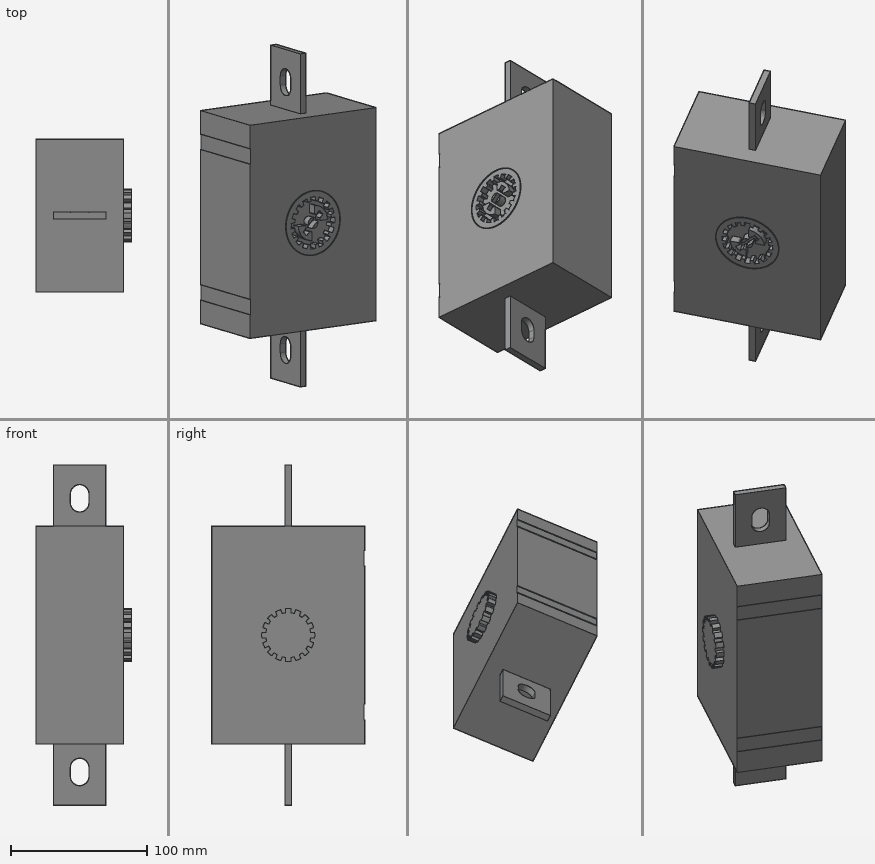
import cadquery as cq
import math

BODY_X = 64.5
BODY_Y = 112.5
BODY_Z = 160.0

BLADE_WIDTH = 38.5
BLADE_THICKNESS = 5.0
BLADE_LENGTH = 250.0
SLOT_WIDTH = 13.5
SLOT_LENGTH = 20.0
SLOT_CENTRE_Z = 100.5

TOOTH_COUNT = 16
TIP_RADIUS = 19.5
ROOT_RADIUS = 16.5
TOOTH_WIDTH = 4.0
GEAR_HEIGHT = 6.0
SOCKET_DEPTH = 6.0

ISLAND_ANGLE = 135
ISLAND_RADIUS = 13.25
ISLAND_OFFSET = 1.1
ISLAND_NECK = 6.2
ISLAND_CORNER = 0.8
NECK_EDGE = 2.0
NOTCH_DEPTH = 2.6

HUB_RADIUS = 4.2
HUB_GAP = 4.2

RING_RADIUS = 24.25
RING_WIDTH = 0.25
RING_DEPTH = 0.5

EDGE_GROOVE_WIDTH = 11.5
EDGE_GROOVE_DEPTH = 0.5
EDGE_GROOVE_Z = 56.5

FACE_X = BODY_X / 2


def polar(radius, angle):
    """Cartesian coordinates of a point at the given radius and angle."""
    return radius * math.cos(angle), radius * math.sin(angle)


def tooth_angle(width, radius):
    """Half angle taken up by a tooth of the given width."""
    return math.asin(width / 2 / radius)


def face_plane(x):
    """Plane facing +X, with local axes along Y and Z."""
    return cq.Workplane("YZ", origin=(x, 0, 0))


def gear(x, height):
    """Straight-toothed gear that extends from x along +X."""
    base = tooth_angle(TOOTH_WIDTH, ROOT_RADIUS)
    tip = tooth_angle(TOOTH_WIDTH, TIP_RADIUS)
    pitch = 2 * math.pi / TOOTH_COUNT
    outline = face_plane(x).moveTo(*polar(ROOT_RADIUS, -base))
    for tooth in range(TOOTH_COUNT):
        middle = tooth * pitch
        outline = outline.lineTo(*polar(TIP_RADIUS, middle - tip))
        outline = outline.threePointArc(polar(TIP_RADIUS, middle), polar(TIP_RADIUS, middle + tip))
        outline = outline.lineTo(*polar(ROOT_RADIUS, middle + base))
        valley = polar(ROOT_RADIUS, middle + pitch / 2)
        outline = outline.threePointArc(valley, polar(ROOT_RADIUS, middle + pitch - base))
    return outline.close().extrude(height)


def island():
    """Island in the -Y, +Z quadrant, symmetric about the quadrant's diagonal."""
    straight_end = math.sqrt(ISLAND_RADIUS**2 - ISLAND_OFFSET**2)
    rounding = ISLAND_CORNER * (1 - math.sqrt(0.5))
    inner = ISLAND_OFFSET + NECK_EDGE
    near = ISLAND_NECK + NOTCH_DEPTH
    return (
        face_plane(-FACE_X)
        .moveTo(-ISLAND_OFFSET, straight_end)
        .lineTo(-ISLAND_OFFSET, ISLAND_NECK + ISLAND_CORNER)
        .threePointArc(
            (-ISLAND_OFFSET - rounding, ISLAND_NECK + rounding),
            (-ISLAND_OFFSET - ISLAND_CORNER, ISLAND_NECK),
        )
        .lineTo(-inner, ISLAND_NECK)
        .lineTo(-inner - NOTCH_DEPTH, near)
        .lineTo(-near, inner + NOTCH_DEPTH)
        .lineTo(-ISLAND_NECK, inner)
        .lineTo(-ISLAND_NECK, ISLAND_OFFSET + ISLAND_CORNER)
        .threePointArc(
            (-ISLAND_NECK - rounding, ISLAND_OFFSET + rounding),
            (-ISLAND_NECK - ISLAND_CORNER, ISLAND_OFFSET),
        )
        .lineTo(-straight_end, ISLAND_OFFSET)
        .threePointArc(polar(ISLAND_RADIUS, math.radians(ISLAND_ANGLE)), (-ISLAND_OFFSET, straight_end))
        .close()
        .extrude(SOCKET_DEPTH)
    )


def hub():
    """Round hub cut in two by a gap along the islands' diagonal."""
    diagonal = face_plane(-FACE_X).transformed(rotate=(0, 0, ISLAND_ANGLE))
    gap = diagonal.rect(2 * HUB_RADIUS, HUB_GAP).extrude(SOCKET_DEPTH)
    return face_plane(-FACE_X).circle(HUB_RADIUS).extrude(SOCKET_DEPTH).cut(gap)


def socket():
    """Material removed from the -X face to leave the islands and hub standing."""
    first = island()
    second = first.rotate((0, 0, 0), (1, 0, 0), 180)
    return gear(-FACE_X, SOCKET_DEPTH).cut(first).cut(second).cut(hub())


def ring():
    """Narrow circular groove around the socket."""
    outline = face_plane(-FACE_X).circle(RING_RADIUS).circle(RING_RADIUS - RING_WIDTH)
    return outline.extrude(RING_DEPTH)


def edge_groove(z):
    """Cutter for one groove along X; half of it lies outside the +Y face."""
    bar = cq.Workplane("XY").box(BODY_X, 2 * EDGE_GROOVE_DEPTH, EDGE_GROOVE_WIDTH)
    return bar.translate((0, BODY_Y / 2, z))


def blade():
    """Flat strip with a fixing slot near each end."""
    strip = cq.Workplane("XY").box(BLADE_WIDTH, BLADE_THICKNESS, BLADE_LENGTH)
    slots = (
        cq.Workplane("XZ")
        .pushPoints([(0, SLOT_CENTRE_Z), (0, -SLOT_CENTRE_Z)])
        .slot2D(SLOT_LENGTH, SLOT_WIDTH, 90)
        .extrude(BLADE_THICKNESS, both=True)
    )
    return strip.cut(slots)


body = cq.Workplane("XY").box(BODY_X, BODY_Y, BODY_Z).union(blade())
body = body.cut(socket()).cut(ring())
for groove_z in (EDGE_GROOVE_Z, -EDGE_GROOVE_Z):
    body = body.cut(edge_groove(groove_z))
result = body.union(gear(FACE_X, GEAR_HEIGHT))